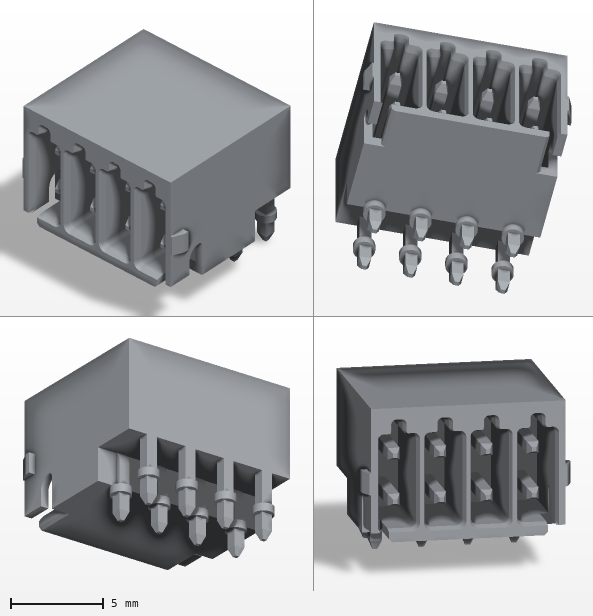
import cadquery as cq
import math


housing_width = 10.67
housing_depth = 9.65
housing_height = 7.43
half_width = housing_width / 2

column_count = 4
pitch = 2.54
column_xs = [(i - (column_count - 1) / 2) * pitch for i in range(column_count)]
lower_contact_z = 1.99

pin_width = 0.65
half_pin = pin_width / 2
point_width = 0.25
point_length = 0.49
contact_tip_y = 1.0
bend_inner_radius = 0.32
tail_length = 1.96
collar_height = 0.47
rear_leg_y = housing_depth - half_pin
overall_depth = 9.92
collar_radius = overall_depth - rear_leg_y
pin_rows = [
    (lower_contact_z, rear_leg_y - pitch),
    (lower_contact_z + pitch, rear_leg_y),
]

rear_step_y = rear_leg_y - pitch
rear_step_height = 2.0

cell_half_width = 1.16
cell_floor_z = 0.54
shoulder_z = 5.99
keyway_half_width = 0.42
keyway_top_z = 6.78
floor_corner_radius = 0.44
shoulder_radius = 0.34
keyway_root_radius = 0.11
keyway_top_radius = 0.3
lead_in_inset = 0.13
lead_in_depth = 0.46
cell_depth = 5.5

plate_half_width = 4.35
plate_chamfer = 0.17
gap_depth = 2.52
window_front_y = 1.52
window_top_z = 2.21
window_front_radius = 0.75
window_rear_radius = gap_depth - window_front_y - window_front_radius

overall_width = 11.46
ear_depth = 0.97
ear_height = 1.21
ear_center_z = lower_contact_z + pitch / 2
ear_front_step = 0.09
ear_ramp_end_y = 0.68
ear_blend_radius = 0.46


def spanning_box(x_range, y_range, z_range):
    """Box given by its limits along each axis."""
    limits = (x_range, y_range, z_range)
    size = [high - low for low, high in limits]
    low_corner = cq.Vector(*[low for low, high in limits])
    return cq.Workplane(cq.Solid.makeBox(*size, pnt=low_corner))


def rounded_wire(y, corners):
    """Closed wire in the plane at y; corners are (x, z, radius), all right-angled."""
    arc_share = 1 - math.sqrt(0.5)
    points = [cq.Vector(x, y, z) for x, z, radius in corners]
    edges = []
    arcs = []
    for i, (x, z, radius) in enumerate(corners):
        point = points[i]
        to_previous = (points[i - 1] - point).normalized() * radius
        to_next = (points[(i + 1) % len(points)] - point).normalized() * radius
        middle = point + (to_previous + to_next) * arc_share
        arcs.append((point + to_previous, middle, point + to_next))
    for i, (start, middle, end) in enumerate(arcs):
        if corners[i][2] > 0:
            edges.append(cq.Edge.makeThreePointArc(start, middle, end))
        edges.append(cq.Edge.makeLine(end, arcs[(i + 1) % len(arcs)][0]))
    return cq.Wire.assembleEdges(edges)


def cell_wire(center_x, y, inset, left_round, right_round):
    """Cell outline with a keyway on top, shrunk evenly by inset."""
    half = cell_half_width - inset
    key = keyway_half_width - inset
    floor = cell_floor_z + inset
    shoulder = shoulder_z - inset
    top = keyway_top_z - inset
    floor_radius = floor_corner_radius - inset
    side_radius = shoulder_radius - inset
    root_radius = keyway_root_radius + inset
    top_radius = keyway_top_radius - inset
    return rounded_wire(y, [
        (center_x - half, floor, floor_radius if left_round else 0),
        (center_x + half, floor, floor_radius if right_round else 0),
        (center_x + half, shoulder, side_radius),
        (center_x + key, shoulder, root_radius),
        (center_x + key, top, top_radius),
        (center_x - key, top, top_radius),
        (center_x - key, shoulder, root_radius),
        (center_x - half, shoulder, side_radius),
    ])


def make_cell(column):
    """Void of one cell; the end cells have a square floor corner at the side wall."""
    left_round = column > 0
    right_round = column < column_count - 1
    x = column_xs[column]
    mouth = cell_wire(x, 0, 0, left_round, right_round)
    throat = cell_wire(x, lead_in_depth, lead_in_inset, left_round, right_round)
    lead_in = cq.Solid.makeLoft([mouth, throat], True)
    straight_depth = cell_depth - lead_in_depth
    straight = cq.Solid.extrudeLinear(throat, [], cq.Vector(0, straight_depth, 0))
    return cq.Workplane(lead_in).union(cq.Workplane(straight))


def make_side_gap():
    """Void that frees the right side wall from the floor plate, with its arched window."""
    cell_wall_x = column_xs[-1] + cell_half_width - lead_in_inset
    inner_floor_z = cell_floor_z + lead_in_inset
    below_wall = (
        cq.Workplane("XZ")
        .moveTo(plate_half_width - plate_chamfer, 0)
        .lineTo(half_width, 0)
        .lineTo(half_width, cell_floor_z)
        .lineTo(plate_half_width, cell_floor_z)
        .lineTo(plate_half_width, plate_chamfer)
        .close()
        .extrude(-gap_depth)
    )
    beside_plate = spanning_box(
        (plate_half_width, cell_wall_x), (0, gap_depth), (0, inner_floor_z)
    )
    window = (
        cq.Workplane("YZ", origin=(cell_wall_x, 0, 0))
        .moveTo(window_front_y, 0)
        .lineTo(window_front_y, window_top_z - window_front_radius)
        .radiusArc((window_front_y + window_front_radius, window_top_z), window_front_radius)
        .radiusArc((gap_depth, window_top_z - window_rear_radius), window_rear_radius)
        .lineTo(gap_depth, 0)
        .close()
        .extrude(half_width - cell_wall_x)
    )
    return below_wall.union(beside_plate).union(window)


def make_ear():
    """Latch ear on the right side wall, ramped towards the mating face."""
    ear_x = overall_width / 2
    ear = (
        cq.Workplane("XY", origin=(0, 0, ear_center_z - ear_height / 2))
        .moveTo(half_width, 0)
        .lineTo(half_width + ear_front_step, 0)
        .lineTo(ear_x, ear_ramp_end_y)
        .lineTo(ear_x, ear_depth)
        .lineTo(half_width, ear_depth)
        .close()
        .extrude(ear_height)
    )
    ramp_end = cq.selectors.NearestToPointSelector((ear_x, ear_ramp_end_y, ear_center_z))
    return ear.edges("|Z").edges(ramp_end).fillet(ear_blend_radius)


def make_point(base_plane):
    """Tapered square point that grows along the normal of base_plane."""
    return (
        cq.Workplane(base_plane)
        .rect(pin_width, pin_width)
        .workplane(offset=point_length)
        .rect(point_width, point_width)
        .loft(ruled=True)
    )


def make_pin(x, contact_z, leg_y):
    """Right-angle pin: contact along Y, leg down along Z with a round collar."""
    contact_base_y = contact_tip_y + point_length
    leg_base_z = point_length - tail_length
    top_z = contact_z + half_pin
    bend_outer_radius = bend_inner_radius + pin_width
    bend_start_y = leg_y - half_pin - bend_inner_radius
    bend_end_z = contact_z - half_pin - bend_inner_radius
    body = (
        cq.Workplane("YZ", origin=(x - half_pin, 0, 0))
        .moveTo(contact_base_y, top_z)
        .lineTo(bend_start_y, top_z)
        .radiusArc((leg_y + half_pin, bend_end_z), bend_outer_radius)
        .lineTo(leg_y + half_pin, leg_base_z)
        .lineTo(leg_y - half_pin, leg_base_z)
        .lineTo(leg_y - half_pin, bend_end_z)
        .radiusArc((bend_start_y, contact_z - half_pin), -bend_inner_radius)
        .lineTo(contact_base_y, contact_z - half_pin)
        .close()
        .extrude(pin_width)
    )
    contact_point = make_point(
        cq.Plane(origin=(x, contact_base_y, contact_z), xDir=(1, 0, 0), normal=(0, -1, 0))
    )
    tail_point = make_point(
        cq.Plane(origin=(x, leg_y, leg_base_z), xDir=(1, 0, 0), normal=(0, 0, -1))
    )
    collar = (
        cq.Workplane("XY", origin=(x, leg_y, -collar_height))
        .circle(collar_radius)
        .extrude(collar_height)
    )
    return body.union(contact_point).union(tail_point).union(collar)


def make_housing(pins):
    """Housing block with its cells, gaps, ears and a matching hole for every pin."""
    body = spanning_box(
        (-half_width, half_width), (0, housing_depth), (0, housing_height)
    )
    rear_step = spanning_box(
        (-half_width, half_width), (rear_step_y, housing_depth), (0, rear_step_height)
    )
    body = body.cut(rear_step)
    for column in range(column_count):
        body = body.cut(make_cell(column))
    gap = make_side_gap()
    ear = make_ear()
    body = body.cut(gap).cut(gap.mirror("YZ"))
    body = body.union(ear).union(ear.mirror("YZ"))
    for pin in pins:
        body = body.cut(pin)
    return body


pins = [make_pin(x, contact_z, leg_y) for x in column_xs for contact_z, leg_y in pin_rows]
housing = make_housing(pins)

pin_solids = [pin.solids().val() for pin in pins]
result = cq.Compound.makeCompound([housing.solids().val(), *pin_solids])